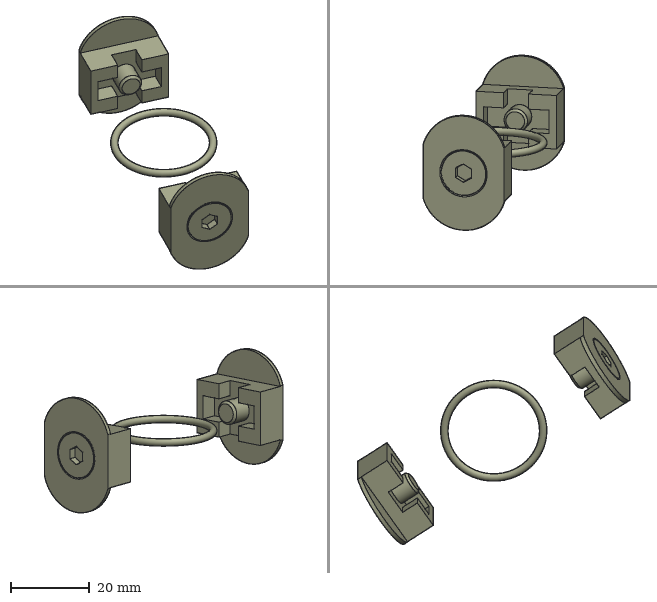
import cadquery as cq
import math

overall_length = 69.0
half_length = overall_length / 2

plate_thickness = 1.1
cap_width = 21.0
plate_height = 29.75
arc_radius = 11.0

block_end = 9.0
block_height = 13.95

opening_floor = 4.5
slot_width = 6.5
pocket_side_wall = 2.0
pocket_height = 6.1

pin_radius = 3.05
pin_end = 10.0
pin_chamfer = 0.6

head_radius = 5.8
groove_outer_radius = 6.15
groove_depth = 0.7
hex_across_flats = 4.15
hex_depth = 2.1

ring_outer_diameter = 27.0
ring_wire_radius = 1.0

outer_face = cq.Workplane("YZ", origin=(-half_length, 0, 0))


def make_plate():
    half_width = cap_width / 2
    half_height = plate_height / 2
    arc_centre = half_height - arc_radius
    flat_end = arc_centre + math.sqrt(arc_radius**2 - half_width**2)
    return (
        outer_face.moveTo(-half_width, -flat_end)
        .threePointArc((0, -half_height), (half_width, -flat_end))
        .lineTo(half_width, flat_end)
        .threePointArc((0, half_height), (-half_width, flat_end))
        .close()
        .extrude(plate_thickness)
    )


def make_block():
    opening_depth = block_end - opening_floor
    floor_plane = outer_face.workplane(offset=opening_floor)
    slot = floor_plane.rect(slot_width, block_height).extrude(opening_depth)
    pocket_width = cap_width - 2 * pocket_side_wall
    pocket = floor_plane.rect(pocket_width, pocket_height).extrude(opening_depth)
    block = outer_face.rect(cap_width, block_height).extrude(block_end)
    return block.cut(slot).cut(pocket)


def make_pin():
    return (
        outer_face.workplane(offset=opening_floor)
        .circle(pin_radius)
        .extrude(pin_end - opening_floor)
        .faces(">X")
        .chamfer(pin_chamfer)
    )


def make_head_groove():
    countersink = (
        outer_face.circle(groove_outer_radius)
        .workplane(offset=groove_depth)
        .circle(head_radius)
        .loft()
    )
    head = outer_face.circle(head_radius).extrude(groove_depth)
    return countersink.cut(head)


def make_hex_socket():
    across_corners = hex_across_flats / math.cos(math.pi / 6)
    hexagon = cq.Sketch().regularPolygon(across_corners / 2, 6)
    return outer_face.placeSketch(hexagon).extrude(hex_depth)


def make_end_cap():
    cap = make_plate().union(make_block()).union(make_pin())
    return cap.cut(make_head_groove()).cut(make_hex_socket())


def make_ring():
    centreline_radius = ring_outer_diameter / 2 - ring_wire_radius
    return cq.Solid.makeTorus(centreline_radius, ring_wire_radius)


left_cap = make_end_cap().solids()
end_caps = [left_cap.val(), left_cap.mirror("YZ").val()]
ring = make_ring()

result = cq.Compound.makeCompound([*end_caps, ring])